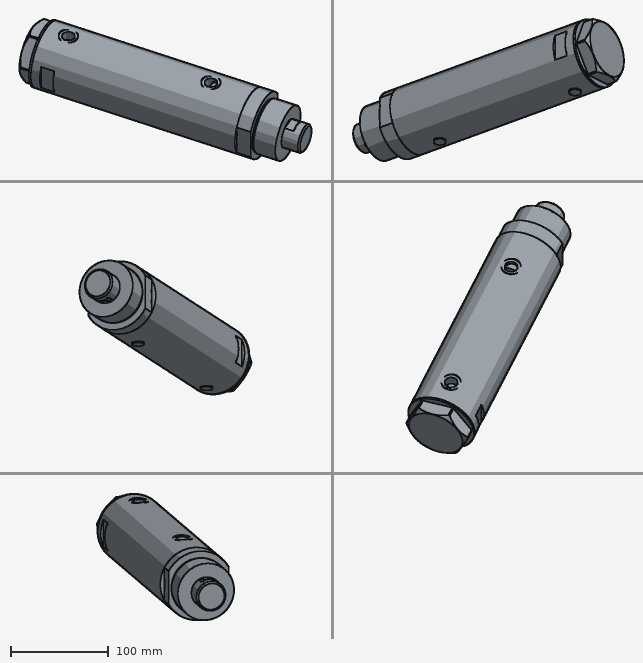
import cadquery as cq
import math


cap_shoulder_x = 14.2
barrel_start_x = 16.4
cap_spigot_end_x = 42.4
gland_spigot_start_x = 203.6
barrel_end_x = 248.3
gland_collar_end_x = 264.3
nose_start_x = 265.6
nose_end_x = 291.2
rod_end_x = 311.52

hex_sides = 6
hex_across_flats = 60.0
hex_corner_diameter = 68.4
hex_rotation = -7.3
hex_face_diameter = 59.4
hex_chamfer_angle = 39.0

barrel_diameter = 73.0
bore_diameter = 50.0
counterbore_diameter = 64.0
port_positions = (41.5, 203.6)
port_diameter = 13.16
port_seat_diameter = 20.0
port_seat_height = 35.4
pad_positions = (40.6, 211.7)
pad_diameter = 12.7
pad_drop = 1.1
wrench_slot_start_x = 26.6
wrench_slot_length = 15.0
wrench_slot_across = 67.0

gland_across_flats = 64.0
groove_diameter = 58.0
nose_diameter = 60.0
nose_chamfer = 1.0

rod_diameter = 31.2
rod_across_flats = 27.0
rod_flat_length = 10.0
rod_chamfer = 1.8


def cylinder(diameter, start_x, end_x):
    return cq.Workplane("YZ", origin=(start_x, 0, 0)).circle(diameter / 2).extrude(end_x - start_x)


def outside_flats(start_x, end_x, across_flats, direction):
    """Two blocks outside a pair of parallel flats facing +/- the direction "Y" or "Z"."""
    length = end_x - start_x
    depth = barrel_diameter / 2
    quarter_turn = 90
    offset = (across_flats + depth) / 2
    center_x = (start_x + end_x) / 2
    block = cq.Workplane("XY").box(length, barrel_diameter, depth)
    pair = block.translate((center_x, 0, offset)).union(block.translate((center_x, 0, -offset)))
    if direction == "Y":
        pair = pair.rotate((0, 0, 0), (1, 0, 0), quarter_turn)
    return pair


def make_end_cap():
    """Hexagonal head with turned corners, a flange and a spigot that closes the bore."""
    hex_corners = hex_across_flats / math.cos(math.pi / hex_sides)
    head = (
        cq.Workplane("YZ")
        .polygon(hex_sides, hex_corners)
        .extrude(cap_shoulder_x)
        .rotate((0, 0, 0), (1, 0, 0), hex_rotation)
    )
    face_radius = hex_face_diameter / 2
    corner_radius = hex_corner_diameter / 2
    chamfer_length = (corner_radius - face_radius) * math.tan(math.radians(hex_chamfer_angle))
    turned_outline = (
        cq.Workplane("XY")
        .polyline([
            (0, 0),
            (0, face_radius),
            (chamfer_length, corner_radius),
            (cap_shoulder_x, corner_radius),
            (cap_shoulder_x, 0),
        ])
        .close()
        .revolve(axisStart=(0, 0, 0), axisEnd=(1, 0, 0))
    )
    flange = cylinder(barrel_diameter, cap_shoulder_x, barrel_start_x)
    spigot = cylinder(bore_diameter, barrel_start_x, cap_spigot_end_x)
    return head.intersect(turned_outline).union(flange).union(spigot)


def make_barrel():
    """Tube with two ports on top, two round pads underneath and a wrench slot on each side."""
    barrel = cylinder(barrel_diameter, barrel_start_x, barrel_end_x)
    for x in pad_positions:
        pad = (
            cq.Workplane("XY", origin=(x, 0, -barrel_diameter / 2 - pad_drop))
            .circle(pad_diameter / 2)
            .extrude(barrel_diameter / 2)
        )
        barrel = barrel.union(pad)

    barrel = barrel.cut(cylinder(bore_diameter, barrel_start_x, barrel_end_x))
    barrel = barrel.cut(cylinder(counterbore_diameter, gland_spigot_start_x, barrel_end_x))
    wrench_slot_end_x = wrench_slot_start_x + wrench_slot_length
    barrel = barrel.cut(outside_flats(wrench_slot_start_x, wrench_slot_end_x, wrench_slot_across, "Y"))

    for x in port_positions:
        seat = (
            cq.Workplane("XY", origin=(x, 0, port_seat_height))
            .circle(port_seat_diameter / 2)
            .extrude(barrel_diameter)
        )
        port = cq.Workplane("XY", origin=(x, 0, 0)).circle(port_diameter / 2).extrude(barrel_diameter)
        barrel = barrel.cut(seat).cut(port)
    return barrel


def make_gland():
    """Spigot in the barrel, flatted collar, groove and nose, bored through for the rod."""
    nose = cylinder(nose_diameter, nose_start_x, nose_end_x).faces("<X").chamfer(nose_chamfer)
    collar = cylinder(barrel_diameter, barrel_end_x, gland_collar_end_x)
    collar = collar.cut(outside_flats(barrel_end_x, gland_collar_end_x, gland_across_flats, "Y"))
    return (
        collar
        .union(cylinder(counterbore_diameter, gland_spigot_start_x, barrel_end_x))
        .union(cylinder(groove_diameter, gland_collar_end_x, nose_start_x))
        .union(nose)
        .cut(cylinder(rod_diameter, gland_spigot_start_x, nose_end_x))
    )


def make_rod():
    """Plunger filling the bore, with a rod through the gland and wrench flats beyond the nose."""
    rod = cylinder(rod_diameter, gland_spigot_start_x, rod_end_x).faces(">X").chamfer(rod_chamfer)
    rod = rod.cut(outside_flats(nose_end_x, nose_end_x + rod_flat_length, rod_across_flats, "Z"))
    return rod.union(cylinder(bore_diameter, cap_spigot_end_x, gland_spigot_start_x))


end_cap = make_end_cap()
barrel = make_barrel()
gland = make_gland()
rod = make_rod()

result = cq.Compound.makeCompound([end_cap.val(), barrel.val(), gland.val(), rod.val()])